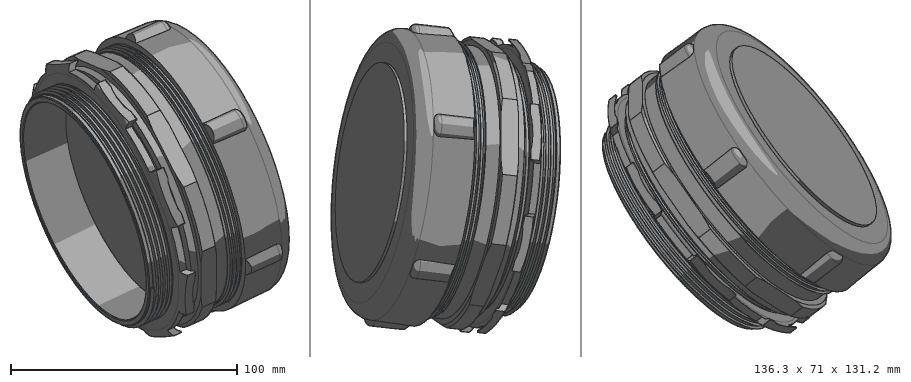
import cadquery as cq
import math


overall_width = 136.3

nut_front = 11.5
gasket_front = 18.7
flange_front = 22.2
flange_back = 30.4
cap_thread_start = 36.9
cap_front = 43.5
cap_roof = 63.0
cap_back = 69.6
insert_back = 71.0

bore_dia = 104.1
front_lead_dia = 109.7
front_lead_length = 2.0
front_root_dia = 110.6
front_crest_dia = 113.0
collar_dia = 121.7
back_root_dia = 122.5
back_crest_dia = 124.7
front_edge_chamfer = 0.4

front_pitch = 2.3
front_thread_start = 1.8
front_start_angle = 0
front_turns = 6.8
back_pitch = 2.0
back_thread_start = 37.2
back_start_angle = 90
back_turns = 11
tooth_base_share = 0.7
tooth_embed = 0.5

flange_sides = 6
flange_corner_dia = 130.1
flange_across_flats = 125.1
flange_chamfer_height = 0.7
flange_chamfer_width = 1.6

gasket_dia = 120.7

nut_flat_radius = 61.5
nut_plate_radius = 63.1
nut_plate_thickness = 3.5
nut_height = 6.0
nut_bend_radius = 7.1
tab_count = 8
tab_width = 26.7
tab_apothem = 65.1
tab_inner_radius = 65.7
nut_turn = 2.4

cap_shoulder_radius = 65.0
cap_mouth_radius = 65.5
cap_edge_fillet = 7.0
rib_count = 6
rib_back = 62.4
rib_turn = 0.8
rib_radius = 6.0
rib_top_fillet = 2.7
rib_chamfer_height = 1.6
rib_axis_radius = (overall_width / 2 - rib_radius) / math.cos(math.radians(rib_turn))
rib_tip_radius = rib_axis_radius + rib_radius

insert_neck_dia = 98.0


def disc(diameter, bottom, top):
    """Cylinder on the gland axis between two levels."""
    return cq.Workplane("XY").workplane(offset=bottom).circle(diameter / 2).extrude(top - bottom)


def ring(outer_dia, inner_dia, bottom, top):
    """Tube on the gland axis between two levels."""
    return (
        cq.Workplane("XY").workplane(offset=bottom)
        .circle(outer_dia / 2).circle(inner_dia / 2).extrude(top - bottom)
    )


def revolve_profile(profile):
    """Turn a closed (radius, level) outline about the gland axis."""
    return profile.close().revolve(360, (0, 0, 0), (0, 1, 0))


def spin(part, angle):
    """Turn a part about the gland axis, in degrees."""
    return part.rotate((0, 0, 0), (0, 0, 1), angle)


def thread_ridge(root_dia, crest_dia, pitch, start, turns, start_angle):
    """Right-hand helical V ridge, slightly embedded in its root cylinder."""
    root_radius = root_dia / 2
    crest_radius = crest_dia / 2
    half_base = pitch * tooth_base_share / 2
    base_radius = root_radius - tooth_embed
    path = cq.Wire.makeHelix(pitch, pitch * turns, root_radius)
    ridge = (
        cq.Workplane("XZ")
        .moveTo(base_radius, -half_base)
        .lineTo(base_radius, half_base)
        .lineTo(crest_radius, 0)
        .close()
        .sweep(cq.Workplane(path), isFrenet=True)
    )
    return spin(ridge.translate((0, 0, start)), start_angle)


def hex_flange():
    """Hexagon with corners rounded by a circle and both rims chamfered."""
    hexagon = (
        cq.Workplane("XY").workplane(offset=flange_front)
        .polygon(flange_sides, flange_across_flats / math.cos(math.pi / flange_sides))
        .extrude(flange_back - flange_front)
    )
    rounding = (
        disc(flange_corner_dia, flange_front, flange_back)
        .edges().chamfer(flange_chamfer_height, flange_chamfer_width)
    )
    return spin(hexagon, 180 / flange_sides).intersect(rounding)


def make_body():
    front_neck = (
        disc(front_lead_dia, 0, flange_front)
        .faces("<Z").edges().chamfer(front_edge_chamfer)
        .union(disc(front_root_dia, front_lead_length, flange_front))
    )
    front_thread = thread_ridge(
        front_root_dia, front_crest_dia, front_pitch, front_thread_start, front_turns, front_start_angle
    )
    collar = disc(collar_dia, flange_back, cap_thread_start)
    back_neck = disc(back_root_dia, cap_thread_start, cap_roof)
    back_thread = thread_ridge(
        back_root_dia, back_crest_dia, back_pitch, back_thread_start, back_turns, back_start_angle
    )
    body = front_neck.union(front_thread)
    body = body.union(hex_flange()).union(collar)
    body = body.union(back_neck.union(back_thread))
    body = body.cut(disc(bore_dia, 0, cap_roof))
    bore_mouth = body.faces("<Z").edges(cq.selectors.RadiusNthSelector(0))
    return bore_mouth.chamfer(front_edge_chamfer)


def make_gasket():
    return ring(gasket_dia, front_root_dia, gasket_front, flange_front)


def make_locknut():
    """Flat ring whose rim bends back into straight tabs, flat on their outer sides."""
    bore_radius = front_crest_dia / 2
    nut_back = nut_front + nut_height
    plate_back = nut_front + nut_plate_thickness
    diagonal = math.sqrt(0.5)
    bend_middle = (
        nut_flat_radius + nut_bend_radius * diagonal,
        nut_front + nut_bend_radius * (1 - diagonal),
    )
    bend_end = (nut_flat_radius + nut_bend_radius, nut_front + nut_bend_radius)
    inner_run = tab_inner_radius - nut_flat_radius
    inner_rise = nut_back - plate_back
    cup = revolve_profile(
        cq.Workplane("XZ")
        .moveTo(bore_radius, nut_front)
        .lineTo(nut_flat_radius, nut_front)
        .threePointArc(bend_middle, bend_end)
        .lineTo(tab_inner_radius, bend_end[1])
        .lineTo(tab_inner_radius, nut_back)
        .threePointArc(
            (nut_flat_radius + inner_run * diagonal, nut_back - inner_rise * diagonal),
            (nut_flat_radius, plate_back),
        )
        .lineTo(bore_radius, plate_back)
    )
    outline = disc(2 * nut_plate_radius, nut_front, nut_back)
    for i in range(tab_count // 2):
        bar = (
            cq.Workplane("XY").workplane(offset=nut_front)
            .rect(2 * tab_apothem, tab_width)
            .extrude(nut_height)
        )
        outline = outline.union(spin(bar, i * 360 / tab_count))
    return spin(cup.intersect(outline), nut_turn)


def cap_rib():
    """Grip rib: round bar with a domed back end and a sloped front end."""
    bar = (
        cq.Workplane("XY").workplane(offset=cap_front)
        .center(rib_axis_radius, 0)
        .circle(rib_radius)
        .extrude(rib_back - cap_front)
        .faces(">Z").edges().fillet(rib_top_fillet)
    )
    envelope = revolve_profile(
        cq.Workplane("XZ")
        .moveTo(0, cap_front)
        .lineTo(cap_mouth_radius, cap_front)
        .lineTo(rib_tip_radius, cap_front + rib_chamfer_height)
        .lineTo(rib_tip_radius, rib_back)
        .lineTo(0, rib_back)
    )
    return bar.intersect(envelope)


def make_cap():
    shell = revolve_profile(
        cq.Workplane("XZ")
        .moveTo(0, cap_front)
        .lineTo(cap_mouth_radius, cap_front)
        .lineTo(cap_shoulder_radius, cap_back - cap_edge_fillet)
        .radiusArc((cap_shoulder_radius - cap_edge_fillet, cap_back), -cap_edge_fillet)
        .lineTo(0, cap_back)
    )
    for i in range(rib_count):
        shell = shell.union(spin(cap_rib(), rib_turn + i * 360 / rib_count))
    shell = shell.cut(disc(back_crest_dia, cap_front, cap_roof))
    return shell.cut(disc(insert_neck_dia, cap_roof, cap_back))


def make_insert():
    """Blanking insert: fills the body bore and passes out through the cap."""
    return disc(bore_dia, flange_front, cap_roof).union(
        disc(insert_neck_dia, cap_roof, insert_back)
    )


def along_y(part):
    """Lay a part built along Z so that its axis runs along +Y."""
    return part.rotate((0, 0, 0), (1, 0, 0), -90)


body = along_y(make_body())
gasket = along_y(make_gasket())
locknut = along_y(make_locknut())
cap = along_y(make_cap())
insert = along_y(make_insert())

result = cq.Compound.makeCompound(
    [body.val(), gasket.val(), locknut.val(), cap.val(), insert.val()]
)